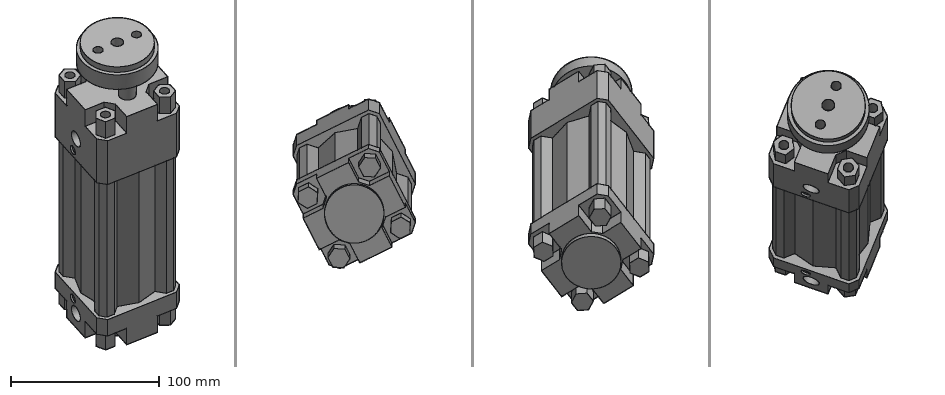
import cadquery as cq
import math

TOTAL_HEIGHT = 247.0
SPIGOT_HEIGHT = 4.5
BASE_HEIGHT = 29.6
TUBE_LENGTH = 121.8
HEAD_HEIGHT = 54.3
BASE_TOP = SPIGOT_HEIGHT + BASE_HEIGHT
HEAD_BOTTOM = BASE_TOP + TUBE_LENGTH
HEAD_TOP = HEAD_BOTTOM + HEAD_HEIGHT

CAP_WIDTH = 65.0
CAP_CHAMFER = 5.5
SPIGOT_DIAMETER = 40.0

NOTCH_DEPTH = 14.8
NOTCH_INNER_EDGE = 12.0
NUT_ACROSS_FLATS = 12.8
NUT_OFFSET = 23.2
NUT_HOLE_DIAMETER = 6.7
NUT_HOLE_DEPTH = 14.8
DRILL_POINT_ANGLE = 118.0

TUBE_WIDTH = 60.3
TUBE_CHAMFER = 4.0
POST_INNER_EDGE = 20.5
GROOVE_DEPTH = 5.7
RIDGE_OFFSET = 28.7

PORT_DIAMETER = 11.5
PORT_DEPTH = 14.8
HEAD_PORT_Z = 174.6
BASE_PORT_Z = 17.3
SCREW_DIAMETER = 6.5
SCREW_DEPTH = 1.5
SCREW_X = -4.0
HEAD_SCREW_Z = 161.5
BASE_SCREW_Z = 27.7

PLATE_DIAMETER = 55.0
PLATE_THICKNESS = 18.0
PLATE_RIM_DIAMETER = 50.0
PLATE_RIM_HEIGHT = 5.0
ROD_DIAMETER = 12.0
ROD_OFFSET = 13.0
PLATE_CENTER_HOLE_DIAMETER = 8.5
PLATE_SIDE_HOLE_DIAMETER = 6.7
PLATE_SIDE_HOLE_OFFSET = 15.0
PLATE_BOTTOM = TOTAL_HEIGHT - PLATE_THICKNESS

QUARTER_TURNS = [0, 90, 180, 270]


def cylinder(diameter, bottom, height, x=0.0, y=0.0):
    """Upright cylinder standing at the given Z."""
    return cq.Workplane("XY", origin=(x, y, bottom)).circle(diameter / 2).extrude(height)


def turned(solid, angle):
    """Copy of a shape turned about the Z axis."""
    return solid.rotate((0, 0, 0), (0, 0, 1), angle)


def corner_notch(bottom):
    """Cutter for the (-X, -Y) corner, with its inner corner cut at 45 degrees."""
    outer = CAP_WIDTH / 2
    inner = NOTCH_INNER_EDGE
    cut = inner + CAP_CHAMFER
    points = [
        (-outer, -outer),
        (-inner, -outer),
        (-inner, -cut),
        (-cut, -inner),
        (-outer, -inner),
    ]
    return cq.Workplane("XY", origin=(0, 0, bottom)).polyline(points).close().extrude(NOTCH_DEPTH)


def corner_nut(bottom):
    """Hexagonal nut in the (-X, -Y) corner, two of its points along X."""
    across_points = NUT_ACROSS_FLATS / math.cos(math.radians(30))
    place = cq.Workplane("XY", origin=(-NUT_OFFSET, -NUT_OFFSET, bottom))
    return place.polygon(6, across_points).extrude(NOTCH_DEPTH)


def nut_hole():
    """Blind hole with a drill point, going down from the top of a head nut."""
    radius = NUT_HOLE_DIAMETER / 2
    point_height = radius / math.tan(math.radians(DRILL_POINT_ANGLE / 2))
    half_section = [
        (0, 0),
        (radius, 0),
        (radius, -NUT_HOLE_DEPTH),
        (0, -NUT_HOLE_DEPTH - point_height),
    ]
    drill = cq.Workplane("XZ").polyline(half_section).close().revolve(360, (0, 0), (0, 1))
    return drill.translate((-NUT_OFFSET, -NUT_OFFSET, HEAD_TOP))


def end_cap(bottom, height, notch_bottom):
    """Chamfered square block with a nut in a notch at each corner."""
    cap = cq.Workplane("XY", origin=(0, 0, bottom)).rect(CAP_WIDTH, CAP_WIDTH).extrude(height)
    cap = cap.edges("|Z").chamfer(CAP_CHAMFER)
    for angle in QUARTER_TURNS:
        cap = cap.cut(turned(corner_notch(notch_bottom), angle))
        cap = cap.union(turned(corner_nut(notch_bottom), angle))
    return cap


def tube():
    """Square tube body with four grooved and ridged sides."""
    half = TUBE_WIDTH / 2
    groove_x = POST_INNER_EDGE - GROOVE_DEPTH
    groove_y = half - GROOVE_DEPTH
    side = [
        (-half + TUBE_CHAMFER, -half),
        (-POST_INNER_EDGE, -half),
        (-groove_x, -groove_y),
        (0, -RIDGE_OFFSET),
        (groove_x, -groove_y),
        (POST_INNER_EDGE, -half),
        (half - TUBE_CHAMFER, -half),
    ]
    outline = []
    for angle in QUARTER_TURNS:
        c = math.cos(math.radians(angle))
        s = math.sin(math.radians(angle))
        outline += [(x * c - y * s, x * s + y * c) for x, y in side]
    return cq.Workplane("XY", origin=(0, 0, BASE_TOP)).polyline(outline).close().extrude(TUBE_LENGTH)


def front_hole(diameter, depth, x, z):
    """Blind hole cutter going in from the -Y face."""
    plane = cq.Workplane("XZ", origin=(x, -CAP_WIDTH / 2, z))
    return plane.circle(diameter / 2).extrude(-depth)


def make_housing():
    """Cylinder housing: spigot, base, tube and head in one piece."""
    base = end_cap(SPIGOT_HEIGHT, BASE_HEIGHT, SPIGOT_HEIGHT)
    head = end_cap(HEAD_BOTTOM, HEAD_HEIGHT, HEAD_TOP - NOTCH_DEPTH)
    spigot = cylinder(SPIGOT_DIAMETER, 0, SPIGOT_HEIGHT)
    body = base.union(tube()).union(head).union(spigot)
    for angle in QUARTER_TURNS:
        body = body.cut(turned(nut_hole(), angle))
    for z in (HEAD_PORT_Z, BASE_PORT_Z):
        body = body.cut(front_hole(PORT_DIAMETER, PORT_DEPTH, 0, z))
    for z in (HEAD_SCREW_Z, BASE_SCREW_Z):
        body = body.cut(front_hole(SCREW_DIAMETER, SCREW_DEPTH, SCREW_X, z))
    return body


def make_tool_plate():
    """Stepped round plate carried on two rods that stand on the head."""
    disc = cylinder(PLATE_DIAMETER, PLATE_BOTTOM, PLATE_THICKNESS - PLATE_RIM_HEIGHT)
    plate = disc.union(cylinder(PLATE_RIM_DIAMETER, PLATE_BOTTOM, PLATE_THICKNESS))
    plate = plate.cut(cylinder(PLATE_CENTER_HOLE_DIAMETER, PLATE_BOTTOM, PLATE_THICKNESS))
    for side in (-1, 1):
        hole_y = side * PLATE_SIDE_HOLE_OFFSET
        plate = plate.cut(cylinder(PLATE_SIDE_HOLE_DIAMETER, PLATE_BOTTOM, PLATE_THICKNESS, y=hole_y))
        rod = cylinder(ROD_DIAMETER, HEAD_TOP, PLATE_BOTTOM - HEAD_TOP, x=side * ROD_OFFSET)
        plate = plate.union(rod)
    return plate


housing = make_housing()
tool_plate = make_tool_plate()

result = cq.Compound.makeCompound([housing.val(), tool_plate.val()])